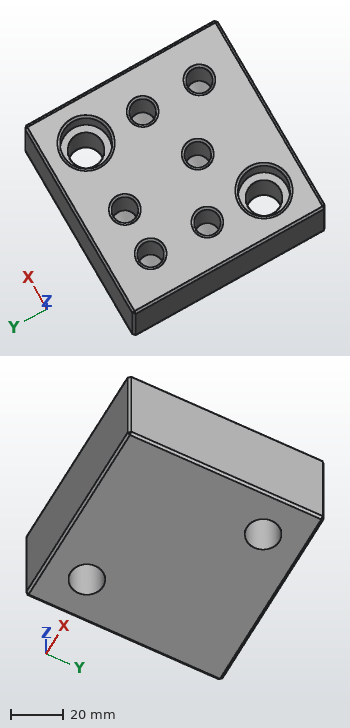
import cadquery as cq
import math

side = 85
height = 40.0
edge_chamfer = 1.0

pitch = 25.0
short_offset = 5.0
long_offset = 2 * short_offset

drill_diameter = 10.2
drill_depth = 25.0
drill_point_angle = 118
drill_chamfer = 1.0
drill_places = [
    (-pitch, pitch),
    (-short_offset, pitch),
    (-pitch, 0),
    (0, -long_offset),
    (pitch, 0),
    (pitch, -pitch),
]

through_diameter = 14.0
bore_diameter = 20.0
bore_depth = 13.0
bore_chamfer = 1.0
bore_places = [(-pitch, -pitch), (pitch, pitch)]


def revolved_cutter(profile):
    """Turn a (radius, depth below the top face) profile about a vertical axis."""
    points = [(radius, height - depth) for radius, depth in profile]
    return cq.Workplane("XZ").polyline(points).close().revolve(360, (0, 0), (0, 1))


def drill_cutter():
    """Blind hole with a chamfered mouth and a conical bottom."""
    radius = drill_diameter / 2
    point_length = radius / math.tan(math.radians(drill_point_angle / 2))
    return revolved_cutter([
        (0, 0),
        (radius + drill_chamfer, 0),
        (radius, drill_chamfer),
        (radius, drill_depth),
        (0, drill_depth + point_length),
    ])


def counterbore_cutter():
    """Through hole with a flat-bottomed counterbore and a chamfered mouth."""
    bore_radius = bore_diameter / 2
    through_radius = through_diameter / 2
    return revolved_cutter([
        (0, 0),
        (bore_radius + bore_chamfer, 0),
        (bore_radius, bore_chamfer),
        (bore_radius, bore_depth),
        (through_radius, bore_depth),
        (through_radius, height),
        (0, height),
    ])


result = cq.Workplane("XY").box(side, side, height, centered=(True, True, False))
result = result.edges().chamfer(edge_chamfer)

for x, y in drill_places:
    result = result.cut(drill_cutter().translate((x, y, 0)))

for x, y in bore_places:
    result = result.cut(counterbore_cutter().translate((x, y, 0)))